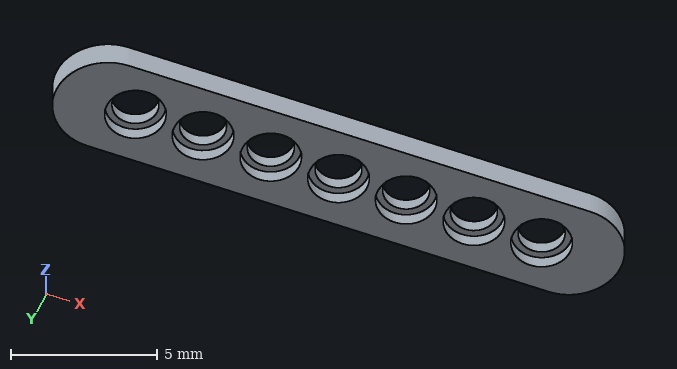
import cadquery as cq

length = 20.8
width = 3.8
thickness = 1.0

hole_count = 7
hole_pitch = 2.5
hole_diameter = 1.6

recess_diameter = 2.1
recess_depth = thickness / 2


def hole_row(diameter, depth):
    """Row of cylinders rising from the underside of the bar."""
    return (
        cq.Workplane("XY")
        .rarray(hole_pitch, 0.2, hole_count, 1)
        .circle(diameter / 2)
        .extrude(depth)
    )


bar = cq.Workplane("XY").slot2D(length, width).extrude(thickness)

through_holes = hole_row(hole_diameter, thickness)
recesses = hole_row(recess_diameter, recess_depth)
result = bar.cut(through_holes).cut(recesses)